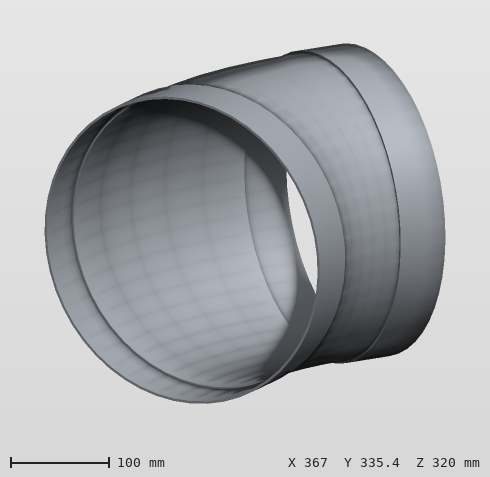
import cadquery as cq
import math

collar_diameter = 320.0
bend_diameter = 315.0
bore_diameter = 309.8
collar_bore_diameter = bend_diameter
lip_thickness = 2.0
collar_length = 52.5
bend_angle = 30
overall_width = 367

angle = math.radians(bend_angle)
end_offset = overall_width - collar_diameter / 2 * (1 + math.cos(angle))
bend_radius = (end_offset - collar_length * math.sin(angle)) / (1 - math.cos(angle))

inlet_direction = cq.Vector(0, 1, 0)
outlet_direction = cq.Vector(math.sin(angle), math.cos(angle), 0)
bend_start = inlet_direction * collar_length
bend_end = bend_start + cq.Vector(
    bend_radius * (1 - math.cos(angle)), bend_radius * math.sin(angle), 0
)


def collar(mouth, inward):
    """Ring running inward from its open mouth to an inner lip that meets the bend."""
    plane = cq.Plane(origin=mouth, xDir=(0, 0, 1), normal=inward)
    body = cq.Workplane(plane).circle(collar_diameter / 2).extrude(collar_length)
    socket = cq.Workplane(plane).circle(collar_bore_diameter / 2).extrude(collar_length - lip_thickness)
    passage = cq.Workplane(plane).circle(bore_diameter / 2).extrude(collar_length)
    return body.cut(socket).cut(passage)


def bend():
    """Tube swept about a vertical axis on the +X side of the inlet."""
    plane = cq.Plane(origin=bend_start, xDir=(1, 0, 0), normal=(0, -1, 0))
    return (
        cq.Workplane(plane)
        .circle(bend_diameter / 2)
        .circle(bore_diameter / 2)
        .revolve(bend_angle, (bend_radius, 3.5, 0), (bend_radius, 0, 0))
    )


inlet_collar = collar(cq.Vector(0, 0, 0), inlet_direction)
outlet_mouth = bend_end + outlet_direction * collar_length
outlet_collar = collar(outlet_mouth, -outlet_direction)
result = bend().union(inlet_collar).union(outlet_collar)